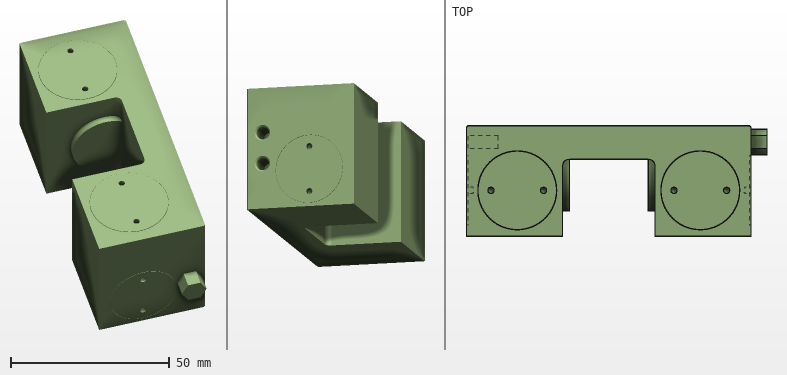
import cadquery as cq
import math

HOUSING_LENGTH = 90.1
HOUSING_DEPTH = 35.0
HOUSING_HEIGHT = 39.0
BACK_EDGE_CHAMFER = 0.5

OPENING_WIDTH = 29.2
BRIDGE_THICKNESS = 10.65
OPENING_CORNER_RADIUS = 2.0
OPENING_DEPTH = HOUSING_DEPTH - BRIDGE_THICKNESS
JAW_LENGTH = (HOUSING_LENGTH - OPENING_WIDTH) / 2

CAP_Y = 14.55
GROOVE_WIDTH = 0.1
GROOVE_DEPTH = 0.5
TOP_CAP_DIAMETER = 24.8
TOP_CAP_RISE = 0.1
TOP_CAP_END_DISTANCE = 16.1
SIDE_CAP_DIAMETER = 21.8
SIDE_CAP_Z = 12.1

SPANNER_HOLE_DIAMETER = 2.0
SPANNER_HOLE_DEPTH = 2.0
DRILL_POINT_ANGLE = 118
TOP_SPANNER_SPACING = 16.6
SIDE_SPANNER_SPACING = 14.55

PISTON_DIAMETER = 22.0
PISTON_RISE = 2.2
PISTON_Y = 18.9
PISTON_Z = 19.8

PORT_DIAMETER = 4.1
PORT_MOUTH_DIAMETER = 5.0
PORT_DEPTH = 10.0
PORT_Y = 29.9
PORT_A_Z = 14.55
PORT_B_Z = 24.5

SCREW_HEAD_LENGTH = 5.0
SCREW_ACROSS_FLATS = 7.0

UP = cq.Vector(0, 0, 1)
RIGHT = cq.Vector(1, 0, 0)


def cylinder(diameter, length, base, direction):
    """Cylinder that starts at base and runs along direction."""
    return cq.Solid.makeCylinder(diameter / 2, length, base, direction)


def cone(base_diameter, end_diameter, length, base, direction):
    """Cone that starts at base and runs along direction."""
    return cq.Solid.makeCone(base_diameter / 2, end_diameter / 2, length, base, direction)


def make_block():
    """Housing block with its rear upright edges chamfered and the opening cut through."""
    block = cq.Workplane().box(HOUSING_LENGTH, HOUSING_DEPTH, HOUSING_HEIGHT, centered=False)
    block = block.edges("|Z and >Y").chamfer(BACK_EDGE_CHAMFER)
    opening = (
        cq.Workplane(origin=(JAW_LENGTH, 0, 0))
        .box(OPENING_WIDTH, OPENING_DEPTH, HOUSING_HEIGHT, centered=False)
        .edges("|Z and >Y")
        .fillet(OPENING_CORNER_RADIUS)
    )
    return block.cut(opening)


def cut_spanner_hole(body, mouth, inward):
    """Drill a blind hole with a conical point."""
    point_length = SPANNER_HOLE_DIAMETER / 2 / math.tan(math.radians(DRILL_POINT_ANGLE / 2))
    bottom = mouth + inward * SPANNER_HOLE_DEPTH
    body = body.cut(cq.Workplane(cylinder(SPANNER_HOLE_DIAMETER, SPANNER_HOLE_DEPTH, mouth, inward)))
    return body.cut(cq.Workplane(cone(SPANNER_HOLE_DIAMETER, 0, point_length, bottom, inward)))


def add_cap(body, center, outward, diameter, rise, hole_direction, hole_spacing):
    """Shape a cap on the face at center: ring groove, raised face and two spanner holes."""
    floor = center - outward * GROOVE_DEPTH
    recess = cylinder(diameter + 2 * GROOVE_WIDTH, GROOVE_DEPTH, floor, outward)
    cap = cylinder(diameter, GROOVE_DEPTH + rise, floor, outward)
    body = body.cut(cq.Workplane(recess)).union(cq.Workplane(cap))
    for side in (-1, 1):
        mouth = center + outward * rise + hole_direction * (side * hole_spacing / 2)
        body = cut_spanner_hole(body, mouth, outward * -1)
    return body


def add_top_caps(body):
    """One raised cap on top of each jaw."""
    for x in (TOP_CAP_END_DISTANCE, HOUSING_LENGTH - TOP_CAP_END_DISTANCE):
        center = cq.Vector(x, CAP_Y, HOUSING_HEIGHT)
        body = add_cap(body, center, UP, TOP_CAP_DIAMETER, TOP_CAP_RISE, RIGHT, TOP_SPANNER_SPACING)
    return body


def add_side_caps(body):
    """One flush cap in each end of the housing."""
    for x, outward in ((0, RIGHT * -1), (HOUSING_LENGTH, RIGHT)):
        center = cq.Vector(x, CAP_Y, SIDE_CAP_Z)
        body = add_cap(body, center, outward, SIDE_CAP_DIAMETER, 0, UP, SIDE_SPANNER_SPACING)
    return body


def add_pistons(body):
    """Two facing discs, one on each jaw wall, that run into the bridge."""
    for x, direction in ((JAW_LENGTH, RIGHT), (JAW_LENGTH + OPENING_WIDTH, RIGHT * -1)):
        base = cq.Vector(x, PISTON_Y, PISTON_Z)
        body = body.union(cq.Workplane(cylinder(PISTON_DIAMETER, PISTON_RISE, base, direction)))
    return body


def cut_ports(body):
    """Two blind ports with 45 degree countersinks."""
    countersink_depth = (PORT_MOUTH_DIAMETER - PORT_DIAMETER) / 2
    for z in (PORT_A_Z, PORT_B_Z):
        mouth = cq.Vector(0, PORT_Y, z)
        bore = cylinder(PORT_DIAMETER, PORT_DEPTH, mouth, RIGHT)
        countersink = cone(PORT_MOUTH_DIAMETER, PORT_DIAMETER, countersink_depth, mouth, RIGHT)
        body = body.cut(cq.Workplane(bore)).cut(cq.Workplane(countersink))
    return body


def make_housing():
    body = make_block()
    body = add_top_caps(body)
    body = add_side_caps(body)
    body = add_pistons(body)
    return cut_ports(body)


def make_screw():
    """Hexagonal head seated on the right end, with corners toward front and back."""
    across_corners = SCREW_ACROSS_FLATS / math.cos(math.radians(30))
    return (
        cq.Workplane("YZ", origin=(HOUSING_LENGTH, PORT_Y, PORT_A_Z))
        .polygon(6, across_corners)
        .extrude(SCREW_HEAD_LENGTH)
    )


housing = make_housing()
screw = make_screw()
result = cq.Compound.makeCompound([housing.val(), screw.val()])